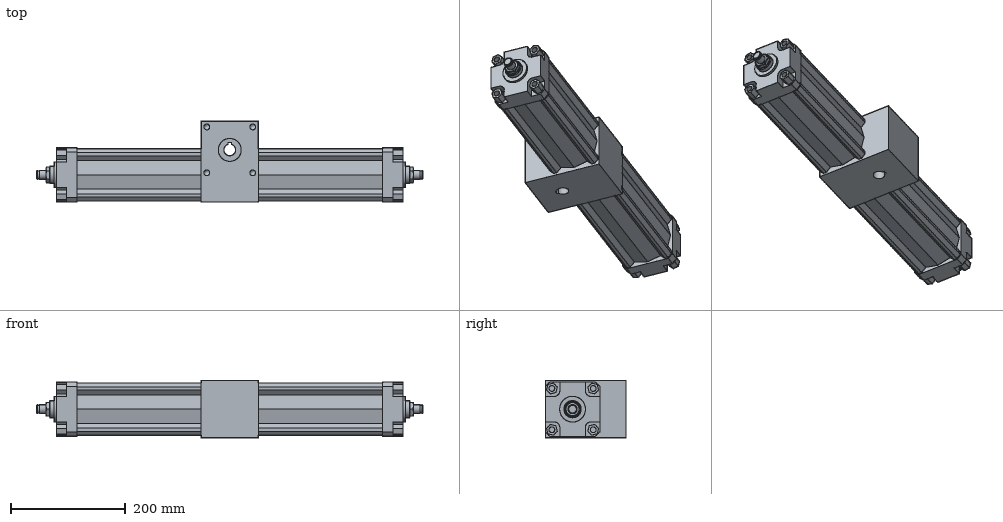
import cadquery as cq
import math

TOTAL_LENGTH = 673.0

HOUSING_LENGTH = 100.0
HOUSING_DEPTH = 141.0
HOUSING_HEIGHT = 100.0
AXIS_TO_FRONT = 47.5
BORE_TO_BACK = 50.0
BORE_Y = HOUSING_DEPTH - AXIS_TO_FRONT - BORE_TO_BACK
BORE_DIAMETER = 20.0
KEYWAY_WIDTH = 6.0
KEYWAY_REACH = 12.8
PINION_DIAMETER = 40.0
PINION_RECESS = 0.5
MOUNT_SPACING = 80.0
MOUNT_DIAMETER = 10.0
MOUNT_DEPTH = 20.0
DRILL_POINT_ANGLE = 118.0

CAP_SIZE = 95.0
CAP_LENGTH = 35.5
CAP_CHAMFER = 8.0
CAP_FACE_X = 302.0
CAP_INNER_X = CAP_FACE_X - CAP_LENGTH

POCKET_EDGE = 22.2
POCKET_DEPTH = 17.5
POCKET_RADIUS = 10.0
SCREW_OFFSET = 36.0
SCREW_ACROSS_FLATS = 17.0
SCREW_CORNER_ANGLE = 45.0
SCREW_HOLE_DIAMETER = 10.0
SCREW_HOLE_DEPTH = 15.0

TUBE_HALF = 45.7
LAND_OUTER = 39.0
LAND_INNER = 33.2
GROOVE_BOTTOM = 25.0
GROOVE_DEPTH = LAND_INNER - GROOVE_BOTTOM
RIDGE_DEPTH = 2.0

PILOT_DIAMETER = 45.0
PILOT_LENGTH = 4.0
COLLAR_DIAMETER = 30.0
COLLAR_LENGTH = 8.5
COLLAR_CHAMFER = 1.5
NUT_ACROSS_FLATS = 24.0
NUT_THICKNESS = 6.0
NUT_FACE_DIAMETER = 23.0
NUT_CHAMFER_LENGTH = 1.4
ROD_DIAMETER = 16.0
TIP_LENGTH = 1.5
TIP_CHAMFER = 1.25
NECK_DIAMETER = 14.0
NECK_LENGTH = 3.0


def disc(start_x, diameter, length):
    return cq.Workplane("YZ").workplane(offset=start_x).circle(diameter / 2).extrude(length)


def hexagon_diameter(across_flats):
    return across_flats / math.cos(math.pi / 6)


def make_housing():
    housing = cq.Workplane("XY").box(HOUSING_LENGTH, HOUSING_DEPTH, HOUSING_HEIGHT)
    return housing.translate((0, HOUSING_DEPTH / 2 - AXIS_TO_FRONT, 0))


def make_bore():
    """Through bore with a keyway on its +Y side and a shallow recess at the top."""
    bottom = cq.Workplane("XY", origin=(0, BORE_Y, -HOUSING_HEIGHT / 2))
    bore = bottom.circle(BORE_DIAMETER / 2).extrude(HOUSING_HEIGHT)
    keyway = bottom.center(0, KEYWAY_REACH / 2).rect(KEYWAY_WIDTH, KEYWAY_REACH).extrude(HOUSING_HEIGHT)
    top = cq.Workplane("XY", origin=(0, BORE_Y, HOUSING_HEIGHT / 2))
    recess = top.circle(PINION_DIAMETER / 2).extrude(-PINION_RECESS)
    return bore.union(keyway).union(recess)


def make_mount_hole():
    """Blind drilled hole with a conical bottom, revolved about Z below its mouth."""
    radius = MOUNT_DIAMETER / 2
    point_depth = radius / math.tan(math.radians(DRILL_POINT_ANGLE / 2))
    outline = [(0, 0), (radius, 0), (radius, -MOUNT_DEPTH), (0, -MOUNT_DEPTH - point_depth)]
    return cq.Workplane("XZ").polyline(outline).close().revolve(360, (0, 0), (0, 1))


def drill_housing(body):
    body = body.cut(make_bore())
    for side_x in (-1, 1):
        for side_y in (-1, 1):
            x = side_x * MOUNT_SPACING / 2
            y = BORE_Y + side_y * MOUNT_SPACING / 2
            body = body.cut(make_mount_hole().translate((x, y, HOUSING_HEIGHT / 2)))
    return body


def make_tube():
    """Profiled tube running the full distance between the two caps."""
    half_side = [
        (LAND_OUTER, TUBE_HALF),
        (LAND_INNER, TUBE_HALF),
        (GROOVE_BOTTOM, TUBE_HALF - GROOVE_DEPTH),
    ]
    ridge = (0, TUBE_HALF - RIDGE_DEPTH)
    side = half_side + [ridge] + [(-u, v) for u, v in reversed(half_side)]
    outline = []
    for cosine, sine in [(1, 0), (0, 1), (-1, 0), (0, -1)]:
        outline += [(u * cosine - v * sine, u * sine + v * cosine) for u, v in side]
    return cq.Workplane("YZ").polyline(outline).close().extrude(CAP_INNER_X, both=True)


def make_corner_pocket():
    """Pocket open to the +Y and +Z sides, with a rounded inner corner."""
    floor = cq.Workplane("YZ").workplane(offset=CAP_FACE_X - POCKET_DEPTH)
    centre = POCKET_EDGE + CAP_SIZE / 2
    pocket = floor.center(centre, centre).rect(CAP_SIZE, CAP_SIZE).extrude(POCKET_DEPTH)
    return pocket.edges("|X and <Y and <Z").fillet(POCKET_RADIUS)


def make_tie_rod_head():
    """Hexagon head with one corner pointing away from the axis and a blind centre hole."""
    head = (
        cq.Workplane("YZ").workplane(offset=CAP_FACE_X - POCKET_DEPTH)
        .transformed(rotate=(0, 0, SCREW_CORNER_ANGLE))
        .polygon(6, hexagon_diameter(SCREW_ACROSS_FLATS)).extrude(POCKET_DEPTH)
    )
    head = head.cut(disc(CAP_FACE_X, SCREW_HOLE_DIAMETER, -SCREW_HOLE_DEPTH))
    return head.translate((0, SCREW_OFFSET, SCREW_OFFSET))


def make_cap():
    """Chamfered block at the +X end with a tie-rod head in each corner pocket."""
    cap = cq.Workplane("YZ").workplane(offset=CAP_INNER_X).rect(CAP_SIZE, CAP_SIZE).extrude(CAP_LENGTH)
    cap = cap.edges("|X").chamfer(CAP_CHAMFER)
    pocket = make_corner_pocket()
    head = make_tie_rod_head()
    for angle in range(0, 360, 90):
        cap = cap.cut(pocket.rotate((0, 0, 0), (1, 0, 0), angle))
        cap = cap.union(head.rotate((0, 0, 0), (1, 0, 0), angle))
    return cap


def make_nut(start_x):
    """Hexagon nut whose outer corners are chamfered down to a round face."""
    corner_diameter = hexagon_diameter(NUT_ACROSS_FLATS)
    blank = cq.Workplane("YZ").workplane(offset=start_x).polygon(6, corner_diameter).extrude(NUT_THICKNESS)
    chamfer_width = (corner_diameter - NUT_FACE_DIAMETER) / 2
    turned = disc(start_x, corner_diameter, NUT_THICKNESS)
    face_edge = turned.faces(">X").edges()
    return blank.intersect(face_edge.chamfer(NUT_CHAMFER_LENGTH, chamfer_width))


def make_spindle():
    """Pilot, collar and lock nut around a rod that ends in a necked, chamfered tip."""
    pilot_end = CAP_FACE_X + PILOT_LENGTH
    collar_end = pilot_end + COLLAR_LENGTH
    tip_start = TOTAL_LENGTH / 2 - TIP_LENGTH
    neck_start = tip_start - NECK_LENGTH
    pilot = disc(CAP_FACE_X, PILOT_DIAMETER, PILOT_LENGTH)
    collar = disc(pilot_end, COLLAR_DIAMETER, COLLAR_LENGTH).faces(">X").chamfer(COLLAR_CHAMFER)
    nut = make_nut(collar_end)
    rod = disc(collar_end, ROD_DIAMETER, neck_start - collar_end)
    neck = disc(neck_start, NECK_DIAMETER, NECK_LENGTH)
    tip = disc(tip_start, ROD_DIAMETER, TIP_LENGTH).faces(">X").chamfer(TIP_CHAMFER)
    return pilot.union(collar).union(nut).union(rod).union(neck).union(tip)


end_assembly = make_cap().union(make_spindle())
body = make_housing().union(make_tube())
body = body.union(end_assembly).union(end_assembly.mirror("YZ"))
result = drill_housing(body)